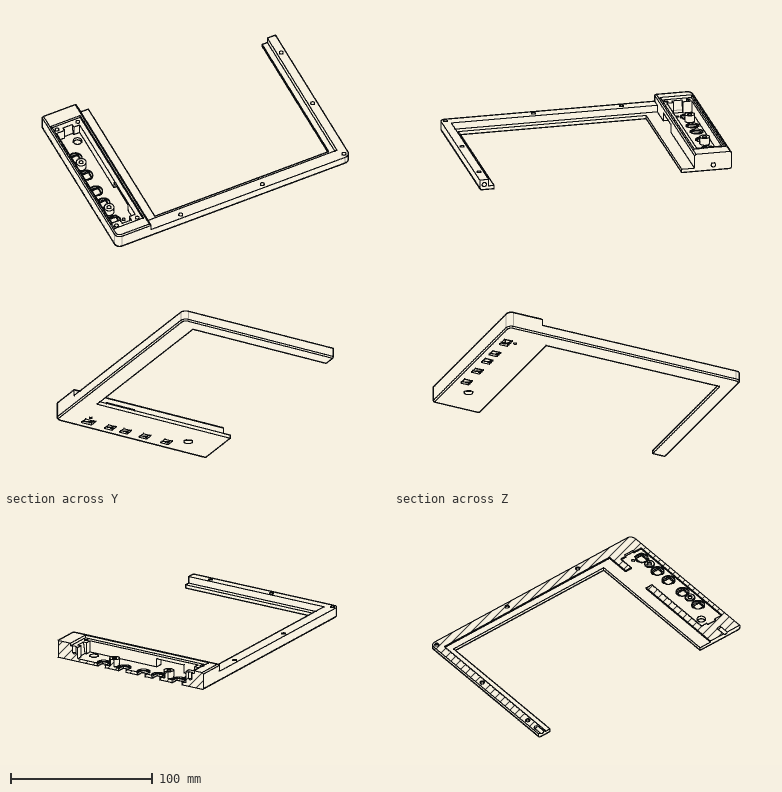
import cadquery as cq
import math

LENGTH_X = 122.0
LENGTH_Y = 183.0
CORNER_RADIUS = 4.0
EDGE_CHAMFER = 1.0

LIP_HEIGHT = 2.5
WALL_HEIGHT = 7.5
BACK_WALL = 6.4
SIDE_WALL = 8.5
BACK_LIP = 4.0
SIDE_LIP = 5.1
FRONT_LIP = 9.3

BOX_DEPTH = 26.9
BOX_HEIGHT = 13.0
FLOOR = LIP_HEIGHT

COVER_X = (10.6, 114.2)
COVER_Y = (2.0, 24.7)
COVER_RECESS_DEPTH = 2.0
COVER_SEAT = BOX_HEIGHT - COVER_RECESS_DEPTH
POCKET_X = (16.7, 107.2)
POCKET_Y = (3.3, 21.5)

NOTCH_Y = (9.7, 16.8)
LEFT_NOTCH_FOOT_X = 15.4
LEFT_NOTCH_TOP_X = 14.0
RIGHT_NOTCH_FOOT_X = 108.3
RIGHT_NOTCH_BEND_X = 109.3
RIGHT_NOTCH_TOP_X = 110.7
RIGHT_NOTCH_BEND_HEIGHT = 1.6

WINDOW_X = (72.7, 95.5)
WINDOW_HEIGHT = 6.0

BUTTON_Y = 8.8
BUTTON_SIZE = 6.2
SQUARE_BUTTON_X = (36.2, 53.8, 69.7, 82.0)
WIDE_BUTTON_X = 99.7
WIDE_BUTTON_WIDTH = 8.2
BUTTON_RECESS_DIAMETER = 9.2
BUTTON_RECESS_DEPTH = 1.0

POST_X = (45.4, 91.0)
POST_DIAMETER = 7.0
POST_HEIGHT = 5.1

SCREW_DIAMETER = 2.7
SCREW_DEPTH = 5.0
COVER_SCREW_X = (13.5, 110.7)
COVER_SCREW_Y = (5.1, 21.5)
WALL_SCREW_INSET = 3.3
WALL_SCREW_PITCH_X = 51.2
WALL_SCREW_PITCH_Y = 64.0
END_HOLE_DIAMETER = 3.1
END_HOLE_DEPTH = 7.3
DRILL_POINT_ANGLE = 118.0
DOWN = (0, 0, -1)
INWARD = (1, 0, 0)
END_HOLE_HEIGHT = 3.8
BOX_END_HOLE_Y = 13.2
JACK_DIAMETER = 6.0
JACK_CENTRE = (23.0, 16.7)
LED_DIAMETER = 2.0
LED_CENTRE = (101.5, 15.2)


def block(x_range, y_range, z_range):
    """Box between the given limits on each axis."""
    size = [high - low for low, high in (x_range, y_range, z_range)]
    return cq.Workplane("XY").box(*size, centered=False).translate((x_range[0], y_range[0], z_range[0]))


def upright(diameter, centre, z_range):
    """Vertical cylinder."""
    bottom, top = z_range
    return cq.Workplane("XY", origin=(*centre, bottom)).circle(diameter / 2).extrude(top - bottom)


def drilled_hole(diameter, depth, mouth, direction):
    """Blind hole with a conical end, from the centre of its mouth along a direction."""
    mouth = cq.Vector(*mouth)
    direction = cq.Vector(*direction)
    radius = diameter / 2
    point = radius / math.tan(math.radians(DRILL_POINT_ANGLE / 2))
    bore = cq.Solid.makeCylinder(radius, depth, mouth, direction)
    tip = cq.Solid.makeCone(radius, 0, point, mouth + direction * depth, direction)
    return cq.Workplane(bore.fuse(tip))


def make_frame():
    wall_x = LENGTH_X - SIDE_WALL
    wall_y = LENGTH_Y - BACK_WALL
    lip_x = wall_x - SIDE_LIP
    lip_y = (BOX_DEPTH + FRONT_LIP, wall_y - BACK_LIP)

    frame = block((0, LENGTH_X), (0, LENGTH_Y), (0, WALL_HEIGHT))
    frame = frame.union(block((0, LENGTH_X), (0, BOX_DEPTH), (0, BOX_HEIGHT)))
    frame = frame.edges("|Z and >X").edges("<Y or >Y").fillet(CORNER_RADIUS)
    frame = frame.faces("<Z").edges("not <X").chamfer(EDGE_CHAMFER)
    frame = frame.faces(">Z").edges("not <X").chamfer(EDGE_CHAMFER)

    frame = frame.cut(block((0, wall_x), (BOX_DEPTH, wall_y), (LIP_HEIGHT, WALL_HEIGHT)))
    return frame.cut(block((0, lip_x), lip_y, (0, LIP_HEIGHT)))


def cut_pocket(body):
    body = body.cut(block(COVER_X, COVER_Y, (COVER_SEAT, BOX_HEIGHT)))
    body = body.cut(block(POCKET_X, POCKET_Y, (FLOOR, BOX_HEIGHT)))
    window_z = (FLOOR, FLOOR + WINDOW_HEIGHT)
    return body.cut(block(WINDOW_X, (POCKET_Y[1], BOX_DEPTH), window_z))


def cut_notches(body):
    profile = [
        (LEFT_NOTCH_FOOT_X, FLOOR),
        (RIGHT_NOTCH_FOOT_X, FLOOR),
        (RIGHT_NOTCH_BEND_X, FLOOR + RIGHT_NOTCH_BEND_HEIGHT),
        (RIGHT_NOTCH_TOP_X, COVER_SEAT),
        (LEFT_NOTCH_TOP_X, COVER_SEAT),
    ]
    front, back = NOTCH_Y
    notches = cq.Workplane("XZ", origin=(0, back, 0)).polyline(profile).close().extrude(back - front)
    return body.cut(notches)


def cut_buttons(body):
    y_range = (BUTTON_Y - BUTTON_SIZE / 2, BUTTON_Y + BUTTON_SIZE / 2)
    recess_z = (FLOOR - BUTTON_RECESS_DEPTH, FLOOR)
    buttons = [(x, BUTTON_SIZE) for x in SQUARE_BUTTON_X]
    buttons.append((WIDE_BUTTON_X, WIDE_BUTTON_WIDTH))
    for x, width in buttons:
        body = body.cut(upright(BUTTON_RECESS_DIAMETER, (x, BUTTON_Y), recess_z))
        body = body.cut(block((x - width / 2, x + width / 2), y_range, (0, FLOOR)))
    return body


def add_posts(body):
    top = FLOOR + POST_HEIGHT
    for x in POST_X:
        body = body.union(upright(POST_DIAMETER, (x, BUTTON_Y), (FLOOR, top)))
        body = body.cut(drilled_hole(SCREW_DIAMETER, SCREW_DEPTH, (x, BUTTON_Y, top), DOWN))
    return body


def drill(body):
    for x in COVER_SCREW_X:
        for y in COVER_SCREW_Y:
            body = body.cut(drilled_hole(SCREW_DIAMETER, SCREW_DEPTH, (x, y, COVER_SEAT), DOWN))

    corner_x = LENGTH_X - WALL_SCREW_INSET
    corner_y = LENGTH_Y - WALL_SCREW_INSET
    wall_screws = [(corner_x - i * WALL_SCREW_PITCH_X, corner_y) for i in range(3)]
    wall_screws += [(corner_x, corner_y - i * WALL_SCREW_PITCH_Y) for i in (1, 2)]
    for x, y in wall_screws:
        body = body.cut(drilled_hole(SCREW_DIAMETER, SCREW_DEPTH, (x, y, WALL_HEIGHT), DOWN))

    body = body.cut(upright(JACK_DIAMETER, JACK_CENTRE, (0, FLOOR)))
    body = body.cut(upright(LED_DIAMETER, LED_CENTRE, (0, FLOOR)))

    for y in (BOX_END_HOLE_Y, corner_y):
        mouth = (0, y, END_HOLE_HEIGHT)
        body = body.cut(drilled_hole(END_HOLE_DIAMETER, END_HOLE_DEPTH, mouth, INWARD))
    return body


result = make_frame()
result = cut_pocket(result)
result = cut_notches(result)
result = cut_buttons(result)
result = add_posts(result)
result = drill(result)